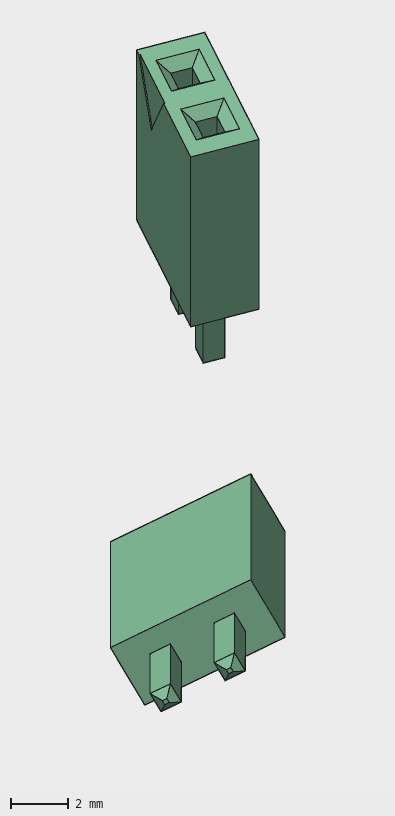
import cadquery as cq

HOUSING_LENGTH = 5.58
HOUSING_DEPTH = 2.55
TOTAL_HEIGHT = 12.0
PIN_PROJECTION = 3.5
HOUSING_HEIGHT = TOTAL_HEIGHT - PIN_PROJECTION

CONTACT_COUNT = 2
PITCH = 2.55
PIN_WIDTH = 0.8
PIN_TIP_CHAMFER = 0.31

SOCKET_MOUTH = 1.61
FUNNEL_DEPTH = (SOCKET_MOUTH - PIN_WIDTH) / 2
SOCKET_FLOOR_Z = HOUSING_HEIGHT / 2

MARK_WIDTH = PITCH
MARK_HEIGHT = PITCH
MARK_DEPTH = 0.05

CONTACT_POSITIONS = [(i - (CONTACT_COUNT - 1) / 2) * PITCH for i in range(CONTACT_COUNT)]


def make_socket_cutter(x):
    """Square bore through the housing with a funnel at the top."""
    bore = (
        cq.Workplane("XY")
        .center(x, 0)
        .rect(PIN_WIDTH, PIN_WIDTH)
        .extrude(HOUSING_HEIGHT)
    )
    funnel = (
        cq.Workplane("XY", origin=(x, 0, HOUSING_HEIGHT))
        .rect(SOCKET_MOUTH, SOCKET_MOUTH)
        .workplane(offset=-FUNNEL_DEPTH)
        .rect(PIN_WIDTH, PIN_WIDTH)
        .loft(ruled=True)
    )
    return bore.union(funnel)


def make_mark_cutter(x):
    """Shallow triangle pointing down from the top edge of the front face."""
    return (
        cq.Workplane("XZ", origin=(x, -HOUSING_DEPTH / 2, HOUSING_HEIGHT))
        .moveTo(-MARK_WIDTH / 2, 0)
        .lineTo(MARK_WIDTH / 2, 0)
        .lineTo(0, -MARK_HEIGHT)
        .close()
        .extrude(-MARK_DEPTH)
    )


def make_housing():
    """Block with one socket per contact and the first-contact mark."""
    housing = cq.Workplane("XY").rect(HOUSING_LENGTH, HOUSING_DEPTH).extrude(HOUSING_HEIGHT)
    for x in CONTACT_POSITIONS:
        housing = housing.cut(make_socket_cutter(x))
    return housing.cut(make_mark_cutter(CONTACT_POSITIONS[0]))


def make_pin(x):
    """Square pin from the socket floor down to a chamfered tip below the housing."""
    return (
        cq.Workplane("XY", origin=(x, 0, -PIN_PROJECTION))
        .rect(PIN_WIDTH, PIN_WIDTH)
        .extrude(PIN_PROJECTION + SOCKET_FLOOR_Z)
        .faces("<Z")
        .chamfer(PIN_TIP_CHAMFER)
    )


housing = make_housing()
pins = [make_pin(x) for x in CONTACT_POSITIONS]

result = cq.Compound.makeCompound([housing.solids().val(), *[pin.solids().val() for pin in pins]])